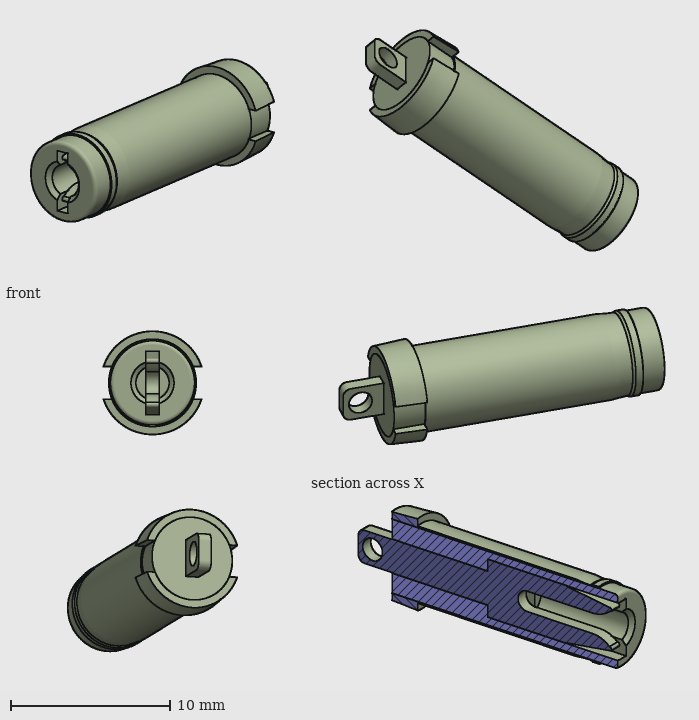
import cadquery as cq

overall_length = 20.5
overlap = 0.2

core_radius = 2.65
core_length = 17.84
mouth_fillet = 0.25
plug_hole_radius = 1.05
plug_hole_depth = 7.18
countersink = 0.3

tube_radius = 2.75
neck_wall = 0.016
ring_front = 1.5
ring_rear = 1.99
neck_y = 2.17
tube_front = 3.3

flange_front = 15.78
flange_front_radius = 6.5 / 2
flange_rear_radius = 3.14
notch_height = 2.03

contact_thickness = 0.82
fork_height = 4.0
fork_rear = 10.25
stem_height = 2.34
tag_corner_radius = 0.51
tag_hole_diameter = 1.52
tag_hole_y = 19.35

nose_front = 0.51
nose_radius = 0.154
nose_height = 1.37
gap_half_height = 0.7
crest_y = 2.05
prong_flare_y = 4.1


def box_between(width, y_front, y_rear, height):
    """A box centred on the Y axis that runs from y_front to y_rear."""
    length = y_rear - y_front
    return cq.Workplane("XY").box(width, length, height).translate((0, y_front + length / 2, 0))


def revolve_about_y(outline):
    """A solid of revolution from an outline given as (Y, radius) points."""
    return outline.close().revolve(360, (0, 0, 0), (1, 0, 0))


def make_core():
    bar = revolve_about_y(
        cq.Workplane("YZ")
        .moveTo(0, 0)
        .lineTo(0, core_radius - mouth_fillet)
        .radiusArc((mouth_fillet, core_radius), mouth_fillet)
        .lineTo(core_length, core_radius)
        .lineTo(core_length, 0)
    )
    plug_hole = revolve_about_y(
        cq.Workplane("YZ")
        .moveTo(0, 0)
        .lineTo(0, plug_hole_radius + countersink)
        .lineTo(countersink, plug_hole_radius)
        .lineTo(plug_hole_depth, plug_hole_radius)
        .lineTo(plug_hole_depth, 0)
    )
    fork_slot = box_between(contact_thickness, -overlap, fork_rear, fork_height)
    stem_slot = box_between(contact_thickness, 0, core_length + overlap, stem_height)
    return bar.cut(plug_hole).cut(fork_slot).cut(stem_slot)


def make_sleeve():
    tube = revolve_about_y(
        cq.Workplane("YZ")
        .moveTo(ring_front, core_radius)
        .lineTo(ring_front, tube_radius)
        .lineTo(ring_rear, tube_radius)
        .lineTo(neck_y, core_radius + neck_wall)
        .lineTo(tube_front, tube_radius)
        .lineTo(flange_front, tube_radius)
        .lineTo(flange_front, flange_front_radius)
        .lineTo(core_length, flange_rear_radius)
        .lineTo(core_length, core_radius)
    )
    notches = box_between(2 * flange_front_radius, flange_front, core_length + overlap, notch_height)
    return tube.cut(notches)


def make_contact():
    half_thickness = contact_thickness / 2
    half_fork = fork_height / 2
    half_stem = stem_height / 2
    nose_y = nose_front + nose_radius
    nose_inner = nose_height - nose_radius
    nose_outer = nose_height + nose_radius

    rise = nose_inner - gap_half_height
    run = crest_y - nose_y
    crest_arc_radius = (run**2 + rise**2) / (2 * rise)
    gap_end = plug_hole_depth

    fork = (
        cq.Workplane("YZ", origin=(-half_thickness, 0, 0))
        .moveTo(overall_length, -half_stem)
        .lineTo(overall_length, half_stem)
        .lineTo(fork_rear, half_stem)
        .lineTo(fork_rear, half_fork)
        .lineTo(prong_flare_y, half_fork)
        .lineTo(nose_y, nose_outer)
        .threePointArc((nose_front, nose_height), (nose_y, nose_inner))
        .radiusArc((crest_y, gap_half_height), -crest_arc_radius)
        .lineTo(gap_end, gap_half_height)
        .threePointArc((gap_end + gap_half_height, 0), (gap_end, -gap_half_height))
        .lineTo(crest_y, -gap_half_height)
        .radiusArc((nose_y, -nose_inner), -crest_arc_radius)
        .threePointArc((nose_front, -nose_height), (nose_y, -nose_outer))
        .lineTo(prong_flare_y, -half_fork)
        .lineTo(fork_rear, -half_fork)
        .lineTo(fork_rear, -half_stem)
        .close()
        .extrude(contact_thickness)
    )
    tag_hole = (
        cq.Workplane("YZ", origin=(-half_thickness, 0, 0))
        .center(tag_hole_y, 0)
        .circle(tag_hole_diameter / 2)
        .extrude(contact_thickness)
    )
    return fork.edges("|X and >Y").fillet(tag_corner_radius).cut(tag_hole)


core = make_core()
sleeve = make_sleeve()
contact = make_contact()

result = cq.Compound.makeCompound([body.solids().val() for body in (core, sleeve, contact)])